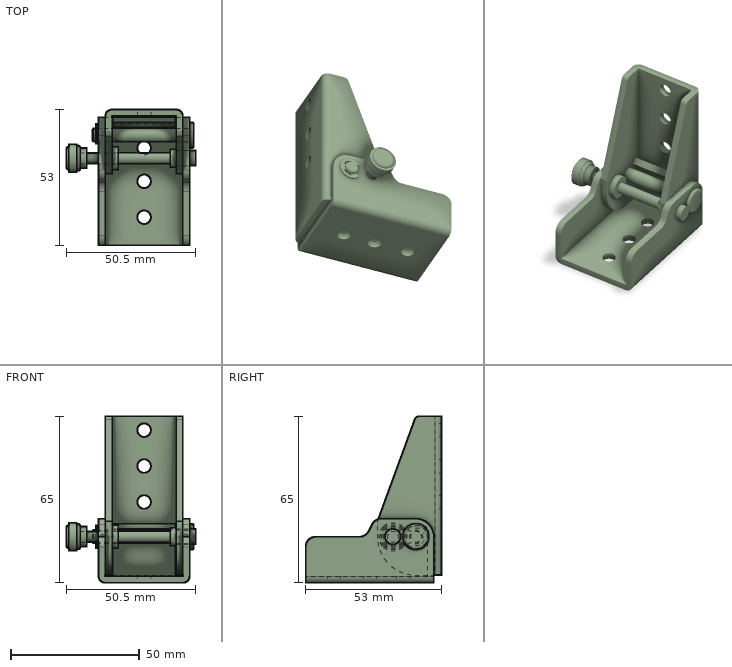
import cadquery as cq
import math


sheet = 2.65
clearance = 0.35
upright_inner_width = 25.0
upright_width = upright_inner_width + 2 * sheet
base_width = upright_width + 2 * sheet
inner_face_x = upright_inner_width / 2
outer_face_x = base_width / 2
bend_radius = sheet
fit_gap = sheet + clearance
overall_depth = 53.0
overall_height = 65.0
base_back_y = -fit_gap
upright_bottom_z = fit_gap

pivot_y = -10.0
plunger_y = -19.0
axis_z = 18.0

ear_radius = base_back_y - pivot_y
ear_top_z = axis_z + ear_radius
low_wall_z = axis_z
step_top_y = -26.0
step_foot_y = -29.5
wall_corner_radius = 4.0
flap_width = upright_inner_width - 2 * clearance
flap_inner_radius = ear_radius - sheet
flap_wrap_angle = math.radians(45)
mounting_hole_diameter = 5.2
base_hole_ys = (-15.0, -28.0, -42.0)

swing_radius = axis_z - upright_bottom_z
upright_front_y = pivot_y - swing_radius
slope_start_z = 24.0
upright_top_depth = 10.0
upright_corner_radius = 2.0
upright_hole_zs = (31.5, 45.5, 59.5)

pivot_diameter = 5.2
pivot_head_diameter = 10.2
pivot_head_length = 1.55
pivot_stub_length = 2.4
pivot_end_chamfer = 0.45
groove_radius = 2.1
clip_thickness = 0.7
clip_wall_gap = 0.4
clip_radius = 4.5
clip_relief_radius = 3.45
clip_tooth_width = 2.9
clip_mouth_root_half = 1.2
clip_mouth_slope = 0.47
clip_tip_radius = 0.3
clip_x = -outer_face_x - clip_wall_gap - clip_thickness

rod_diameter = 4.2
nose_diameter = 6.0
nose_protrusion = 2.35
nose_flange_diameter = 7.0
collar_diameter = 9.0
collar_length = 2.4
knob_cap_diameter = 9.0
knob_cap_length = 1.0
knob_grip_diameter = 11.0
knob_grip_length = 3.1
knob_shoulder_diameter = 10.0
knob_shoulder_length = 1.4
knob_neck_diameter = 8.0
knob_neck_length = 2.5
knob_rounding = 0.99
overall_width = 50.5
nose_end_x = outer_face_x + nose_protrusion
knob_left_x = nose_end_x - overall_width
grip_x = knob_left_x + knob_cap_length
shoulder_x = grip_x + knob_grip_length
neck_x = shoulder_x + knob_shoulder_length
knob_right_x = neck_x + knob_neck_length


def cylinder_x(diameter, start_x, end_x, y):
    """Cylinder parallel to X at the height of the pin axes."""
    return (
        cq.Workplane("YZ", origin=(start_x, y, axis_z))
        .circle(diameter / 2)
        .extrude(end_x - start_x)
    )


def box(width, y_min, y_max, z_min, z_max):
    """Box centred on X = 0."""
    return cq.Workplane("XY").box(width, y_max - y_min, z_max - z_min).translate(
        (0, (y_min + y_max) / 2, (z_min + z_max) / 2)
    )


def drill_pin_holes(bracket):
    """Cut the pivot hole and the stepped plunger hole through both walls."""
    bracket = bracket.cut(cylinder_x(pivot_diameter, -outer_face_x, outer_face_x, pivot_y))
    bracket = bracket.cut(cylinder_x(rod_diameter, -outer_face_x, 0, plunger_y))
    return bracket.cut(cylinder_x(nose_diameter, 0, outer_face_x, plunger_y))


def base_wall_profile():
    """Side outline of the base, extruded over its whole width."""
    outline = (
        cq.Workplane("YZ", origin=(-outer_face_x, 0, 0))
        .moveTo(base_back_y, 0)
        .lineTo(base_back_y, axis_z)
        .radiusArc((pivot_y, ear_top_z), -ear_radius)
        .lineTo(step_top_y, ear_top_z)
        .lineTo(step_foot_y, low_wall_z)
        .lineTo(-overall_depth, low_wall_z)
        .lineTo(-overall_depth, 0)
        .close()
        .extrude(base_width)
    )
    for corner in ((step_top_y, ear_top_z), (step_foot_y, low_wall_z), (-overall_depth, low_wall_z)):
        edge = outline.edges(cq.NearestToPointSelector((0, *corner)))
        outline = edge.fillet(wall_corner_radius)
    return outline


def make_flap():
    """Upturned back flap that curls around the pivot axis."""
    sine = math.sin(flap_wrap_angle)
    cosine = math.cos(flap_wrap_angle)
    outer_tip = (pivot_y + ear_radius * cosine, axis_z + ear_radius * sine)
    inner_tip = (pivot_y + flap_inner_radius * cosine, axis_z + flap_inner_radius * sine)
    return (
        cq.Workplane("YZ", origin=(-flap_width / 2, 0, 0))
        .moveTo(base_back_y, 0)
        .lineTo(base_back_y, axis_z)
        .radiusArc(outer_tip, -ear_radius)
        .lineTo(*inner_tip)
        .radiusArc((base_back_y - sheet, axis_z), flap_inner_radius)
        .lineTo(base_back_y - sheet, 0)
        .close()
        .extrude(flap_width)
    )


def make_base():
    channel = base_wall_profile().edges("|Y and <Z").fillet(bend_radius)
    channel = channel.cut(box(upright_width, -overall_depth, base_back_y, sheet, ear_top_z))
    base = drill_pin_holes(channel.union(make_flap()))
    for hole_y in base_hole_ys:
        hole = cq.Workplane("XY").center(0, hole_y).circle(mounting_hole_diameter / 2).extrude(sheet)
        base = base.cut(hole)
    return base


def make_upright():
    blank = (
        cq.Workplane("YZ", origin=(-upright_width / 2, 0, 0))
        .moveTo(0, upright_bottom_z)
        .lineTo(0, overall_height)
        .lineTo(-upright_top_depth, overall_height)
        .lineTo(upright_front_y, slope_start_z)
        .lineTo(upright_front_y, axis_z)
        .radiusArc((pivot_y, upright_bottom_z), -swing_radius)
        .close()
        .extrude(upright_width)
    )
    top_corner = cq.NearestToPointSelector((0, -upright_top_depth, overall_height))
    blank = blank.edges(top_corner).fillet(upright_corner_radius)
    blank = blank.edges("|Z and >Y").fillet(bend_radius)
    channel = blank.cut(
        box(upright_inner_width, upright_front_y, -sheet, upright_bottom_z, overall_height)
    )
    upright = drill_pin_holes(channel)
    for hole_z in upright_hole_zs:
        hole = cq.Workplane("XZ").center(0, hole_z).circle(mounting_hole_diameter / 2).extrude(sheet)
        upright = upright.cut(hole)
    return upright


def make_pivot_pin():
    shank = cylinder_x(pivot_diameter, -outer_face_x - pivot_stub_length, outer_face_x, pivot_y)
    shank = shank.faces("<X").chamfer(pivot_end_chamfer)
    rounding = pivot_head_length / 2
    head = (
        cq.Workplane("XY", origin=(outer_face_x, pivot_y, axis_z))
        .lineTo(0, pivot_head_diameter / 2 - rounding)
        .radiusArc((pivot_head_length, pivot_head_diameter / 2 - rounding), rounding)
        .lineTo(pivot_head_length, 0)
        .close()
        .revolve(360, (0, 0, 0), (1, 0, 0))
    )
    groove = cylinder_x(pivot_diameter, clip_x, clip_x + clip_thickness, pivot_y).cut(
        cylinder_x(2 * groove_radius, clip_x, clip_x + clip_thickness, pivot_y)
    )
    return shank.union(head).cut(groove)


def make_clip():
    """E-clip with its mouth facing -Y: a back tooth and two arms grip the groove."""
    plane = cq.Workplane("YZ", origin=(clip_x, pivot_y, axis_z))
    relief = plane.circle(clip_relief_radius).extrude(clip_thickness)
    back_half = plane.rect(clip_relief_radius, 2 * clip_relief_radius).extrude(clip_thickness)
    back_half = back_half.translate((0, clip_relief_radius / 2, 0))
    tooth = plane.rect(2 * clip_radius, clip_tooth_width).extrude(clip_thickness)
    mouth_half = clip_mouth_root_half + clip_mouth_slope * clip_radius
    mouth = (
        plane.moveTo(0, clip_mouth_root_half)
        .lineTo(-clip_radius, mouth_half)
        .lineTo(-clip_radius, -mouth_half)
        .lineTo(0, -clip_mouth_root_half)
        .close()
        .extrude(clip_thickness)
    )
    disc = plane.circle(clip_radius).extrude(clip_thickness).cut(mouth)
    disc = disc.edges("|X and <Y").fillet(clip_tip_radius)
    bore = plane.circle(groove_radius).extrude(clip_thickness)
    return disc.cut(relief.intersect(back_half).cut(tooth)).cut(bore)


def make_plunger():
    """Rod whose thicker nose locks the far walls, with a flange inside them."""
    rod = cylinder_x(rod_diameter, neck_x, inner_face_x, plunger_y)
    flange = cylinder_x(nose_flange_diameter, inner_face_x - collar_length, inner_face_x, plunger_y)
    nose = cylinder_x(nose_diameter, inner_face_x, nose_end_x, plunger_y)
    return rod.union(flange).union(nose)


def make_knob():
    """Stepped knob with a blind bore for the plunger rod in its neck."""
    cap = cylinder_x(knob_cap_diameter, knob_left_x, grip_x, plunger_y)
    cap = cap.faces("<X").edges().fillet(knob_rounding)
    grip = cylinder_x(knob_grip_diameter, grip_x, shoulder_x, plunger_y)
    shoulder = cylinder_x(knob_shoulder_diameter, shoulder_x, neck_x, plunger_y)
    shoulder = shoulder.faces(">X").edges().fillet(knob_rounding)
    neck = cylinder_x(knob_neck_diameter, neck_x, knob_right_x, plunger_y)
    bore = cylinder_x(rod_diameter, neck_x, knob_right_x, plunger_y)
    return cap.union(grip).union(shoulder).union(neck).cut(bore)


def make_collar():
    """Ring on the plunger rod, against the inside of the knob-side wall."""
    collar_end_x = -inner_face_x + collar_length
    ring = cylinder_x(collar_diameter, -inner_face_x, collar_end_x, plunger_y)
    return ring.cut(cylinder_x(rod_diameter, -inner_face_x, collar_end_x, plunger_y))


base = make_base()
upright = make_upright()
pivot_pin = make_pivot_pin()
clip = make_clip()
plunger = make_plunger()
knob = make_knob()
collar = make_collar()

result = cq.Compound.makeCompound(
    [
        base.val(),
        upright.val(),
        pivot_pin.val(),
        clip.val(),
        plunger.val(),
        knob.val(),
        collar.val(),
    ]
)